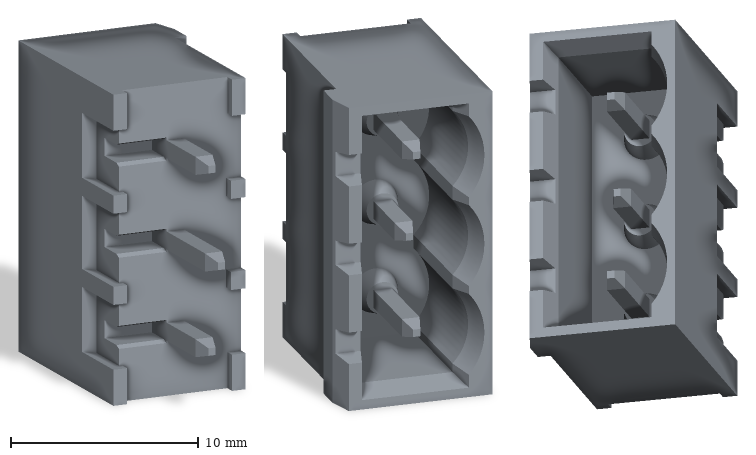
import cadquery as cq
import math


HEIGHT = 17.24
LENGTH = 11.93
BODY_WIDTH = 7.8
LEDGE_WIDTH = 8.5
LEDGE_LENGTH = 3.0
LEDGE_RAMP_LENGTH = 1.5
LEDGE_RAMP_RISE = 0.41

PITCH = 5.05
POLE_Y = 3.9
POLE_Z = [HEIGHT / 2 + step * PITCH for step in (-1, 0, 1)]
MIDDLE_POLE_Z = POLE_Z[1]

CAVITY_DEPTH = 8.0
CAVITY_Y_MIN = 1.33
CAVITY_Y_MAX = 7.35
CAVITY_END_WALL = 0.53
SCALLOP_RADIUS = 3.45
LEAD_IN_LENGTH = 1.5
LEAD_IN_INSET = 0.41

NOTCH_DEPTH = 1.2
NOTCH_MOUTH_HEIGHT = 1.8
NOTCH_FLOOR_HEIGHT = 1.38

RECESS_DEPTH = 0.6
RECESS_X = LENGTH - RECESS_DEPTH
RECESS_Y_MIN = 0.8
RECESS_Y_MAX = 6.93
RECESS_END_Y_MAX = 7.0
POCKET_X = 7.98
POCKET_DEPTH = 0.6
POCKET_SLOPE_LENGTH = 0.55
END_WALL = 2.0
RIB_THICKNESS = 1.0

PIN_SIZE = 1.0
PIN_TIP_SIZE = 0.41
PIN_TIP_LENGTH = 1.0
PIN_START_X = 1.09
PIN_LENGTH = 14.91
MIDDLE_PIN_SHIFT = 1.2
COLLAR_BASE_RADIUS = 1.25
COLLAR_TOP_RADIUS = 0.9
COLLAR_HEIGHT = 1.2
SLOT_X = 9.52
SLOT_FLARE_LENGTH = 0.31
SLOT_FLARE = 0.14


def box(x_range, y_range, z_range):
    """Axis-aligned box between the given limits."""
    lows, highs = zip(x_range, y_range, z_range)
    sizes = [high - low for low, high in zip(lows, highs)]
    return cq.Workplane("XY").box(*sizes, centered=False).translate(lows)


def make_shell():
    """Solid housing with the ramped latch ledge along its front +Y edge."""
    return (
        cq.Workplane("XY")
        .polyline([
            (0, 0),
            (LENGTH, 0),
            (LENGTH, BODY_WIDTH),
            (LEDGE_LENGTH, BODY_WIDTH),
            (LEDGE_LENGTH, LEDGE_WIDTH),
            (LEDGE_RAMP_LENGTH, LEDGE_WIDTH),
            (0, LEDGE_WIDTH - LEDGE_RAMP_RISE),
        ])
        .close()
        .extrude(HEIGHT)
    )


def cavity_outline(x, inset):
    """Cavity outline at depth x: a rectangle with one scallop per pole on its -Y side."""
    y_min = CAVITY_Y_MIN + inset
    y_max = CAVITY_Y_MAX - inset
    z_min = CAVITY_END_WALL + inset
    z_max = HEIGHT - z_min
    radius = SCALLOP_RADIUS - inset
    half_chord = math.sqrt(radius**2 - (POLE_Y - y_min) ** 2)

    outline = cq.Workplane("YZ", origin=(x, 0, 0)).moveTo(y_max, z_max)
    outline = outline.lineTo(y_max, z_min).lineTo(y_min, z_min)
    for pole_z in POLE_Z:
        outline = outline.lineTo(y_min, pole_z - half_chord)
        outline = outline.threePointArc((POLE_Y - radius, pole_z), (y_min, pole_z + half_chord))
    return outline.lineTo(y_min, z_max).close()


def make_cavity():
    """Straight scalloped cavity with a tapered lead-in at its mouth."""
    straight = cavity_outline(0, LEAD_IN_INSET).extrude(CAVITY_DEPTH)
    mouth = cavity_outline(0, 0).val()
    throat = cavity_outline(LEAD_IN_LENGTH, LEAD_IN_INSET).val()
    lead_in = cq.Solid.makeLoft([mouth, throat], True)
    return straight.union(cq.Workplane(lead_in))


def make_coding_notch(pole_z):
    """Notch through the +Y wall that narrows towards its floor."""
    middle_y = (POLE_Y + LEDGE_WIDTH) / 2
    return (
        cq.Workplane("XZ", origin=(0, LEDGE_WIDTH, 0))
        .polyline([
            (0, pole_z - NOTCH_MOUTH_HEIGHT / 2),
            (NOTCH_DEPTH, pole_z - NOTCH_FLOOR_HEIGHT / 2),
            (NOTCH_DEPTH, pole_z + NOTCH_FLOOR_HEIGHT / 2),
            (0, pole_z + NOTCH_MOUTH_HEIGHT / 2),
        ])
        .close()
        .extrude(LEDGE_WIDTH - middle_y)
    )


def pocket_limits(pole_z):
    """Z limits of the rear pocket of one pole, between the ribs and the end walls."""
    half_gap = (PITCH - RIB_THICKNESS) / 2
    z_min = max(pole_z - half_gap, END_WALL)
    z_max = min(pole_z + half_gap, HEIGHT - END_WALL)
    return z_min, z_max


def make_rear_recess():
    """Recess over the full height, wider in the end walls and open on both sides at each pole."""
    x_range = (RECESS_X, LENGTH)
    recess = box(x_range, (RECESS_Y_MIN, RECESS_Y_MAX), (0, HEIGHT))
    for z_range in ((0, END_WALL), (HEIGHT - END_WALL, HEIGHT)):
        recess = recess.union(box(x_range, (RECESS_Y_MIN, RECESS_END_Y_MAX), z_range))
    for pole_z in POLE_Z:
        recess = recess.union(box(x_range, (0, BODY_WIDTH), pocket_limits(pole_z)))
    return recess


def make_pocket(pole_z):
    """Pocket in the -Y face with a sloped front wall, running into the rear recess."""
    z_min, z_max = pocket_limits(pole_z)
    return (
        cq.Workplane("XY", origin=(0, 0, z_min))
        .polyline([
            (POCKET_X, 0),
            (POCKET_X + POCKET_SLOPE_LENGTH, POCKET_DEPTH),
            (LENGTH, POCKET_DEPTH),
            (LENGTH, 0),
        ])
        .close()
        .extrude(z_max - z_min)
    )


def make_pin_slot(pole_z):
    """Slot from the pocket floor to the pin, flared at the rear."""
    half = PIN_SIZE / 2
    flare_x = RECESS_X - SLOT_FLARE_LENGTH
    slot_end_y = POLE_Y - half
    return (
        cq.Workplane("XZ", origin=(0, slot_end_y, 0))
        .polyline([
            (SLOT_X, pole_z - half),
            (flare_x, pole_z - half),
            (RECESS_X, pole_z - half - SLOT_FLARE),
            (RECESS_X, pole_z + half + SLOT_FLARE),
            (flare_x, pole_z + half),
            (SLOT_X, pole_z + half),
        ])
        .close()
        .extrude(slot_end_y)
    )


def make_collar(pole_z):
    """Conical collar around a pin on the cavity floor."""
    cone = cq.Solid.makeCone(
        COLLAR_BASE_RADIUS,
        COLLAR_TOP_RADIUS,
        COLLAR_HEIGHT,
        cq.Vector(CAVITY_DEPTH, POLE_Y, pole_z),
        cq.Vector(-1, 0, 0),
    )
    return cq.Workplane(cone)


def make_pin_tip(base_x, direction, pole_z):
    """Square pyramid frustum that points along +X or -X."""
    return (
        cq.Workplane("YZ", origin=(base_x, POLE_Y, pole_z))
        .rect(PIN_SIZE, PIN_SIZE)
        .workplane(offset=direction * PIN_TIP_LENGTH)
        .rect(PIN_TIP_SIZE, PIN_TIP_SIZE)
        .loft(ruled=True)
    )


def make_pin(pole_z):
    """Straight square pin with a tapered tip at both ends; the middle pin sits further back."""
    shift = MIDDLE_PIN_SHIFT if pole_z == MIDDLE_POLE_Z else 0
    shank_start = PIN_START_X + shift + PIN_TIP_LENGTH
    shank_end = PIN_START_X + shift + PIN_LENGTH - PIN_TIP_LENGTH
    half = PIN_SIZE / 2
    shank = box(
        (shank_start, shank_end),
        (POLE_Y - half, POLE_Y + half),
        (pole_z - half, pole_z + half),
    )
    front_tip = make_pin_tip(shank_start, -1, pole_z)
    rear_tip = make_pin_tip(shank_end, 1, pole_z)
    return shank.union(front_tip).union(rear_tip)


result = make_shell().cut(make_cavity()).cut(make_rear_recess())
for pole_z in POLE_Z:
    result = result.cut(make_coding_notch(pole_z))
    result = result.cut(make_pocket(pole_z))
    result = result.cut(make_pin_slot(pole_z))
    result = result.union(make_collar(pole_z))
    result = result.union(make_pin(pole_z))